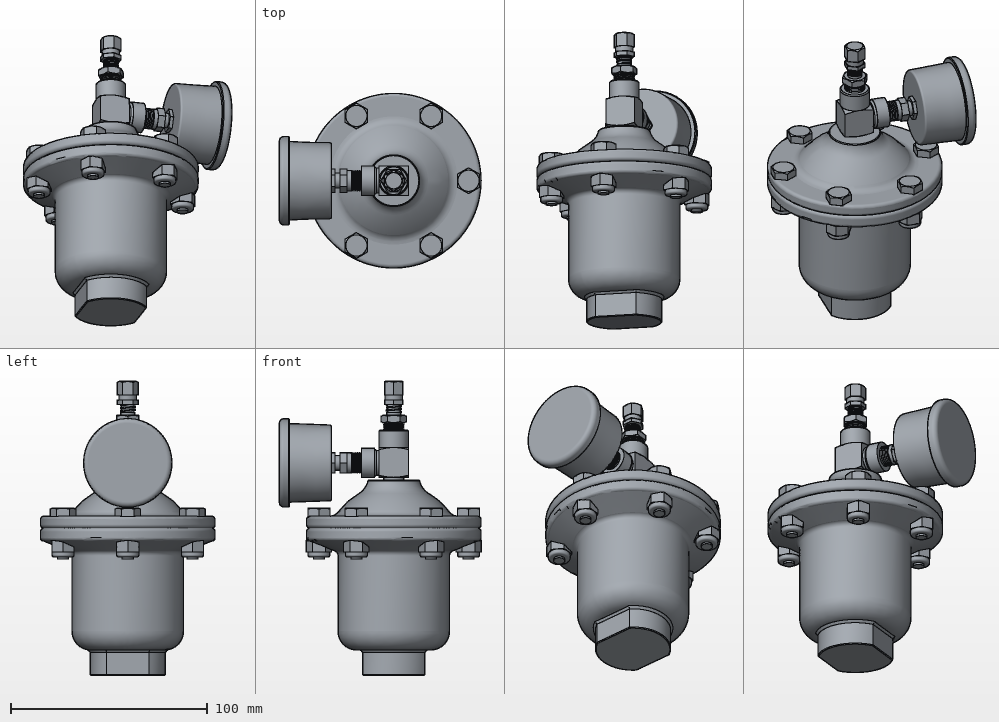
import cadquery as cq
import math

BOSS_DIAMETER = 38.3
BOSS_FLATS = 31.7
BOSS_TOP = 11.7
BOSS_FLARE_ANGLE = 40
BOSS_CHAMFER = 0.5
BODY_RADIUS = 56.7 / 2
BODY_BOTTOM = 12.9
BODY_CORNER_RADIUS = 9.6
FLARE_BOTTOM = 60.7
FLARE_BEND = (28.9, 62.4)
FLARE_LIP_RADIUS = 61.2 / 2
FLARE_LIP_Z = 63.5

FLANGE_RADIUS = 88.9 / 2
FLANGE_JOINT = 74.8
UPPER_FLANGE_THICKNESS = 6.1
LOWER_FLANGE_THICKNESS = 6.6
FLANGE_FILLET = 1.8
FLANGE_TOP = FLANGE_JOINT + UPPER_FLANGE_THICKNESS
FLANGE_BOTTOM = FLANGE_JOINT - LOWER_FLANGE_THICKNESS

BONNET_FOOT = (33.0, FLANGE_TOP)
BONNET_FOOT_BEND = (30.0, 81.7)
BONNET_DOME_LOW = (27.8, 83.6)
BONNET_DOME_BEND = (23.0, 88.7)
BONNET_DOME_HIGH = (17.5, 92.6)
BONNET_NECK_BEND = (14.7, 95.5)
BONNET_NECK = (13.2, 98.9)
BONNET_TOP = (12.7, 99.4)

BOLT_COUNT = 6
BOLT_CIRCLE_RADIUS = 38.0
BOLT_HEAD_FLATS = 11.4
BOLT_CROWN_DIAMETER = 10.8
BOLT_HEAD_HEIGHT = 4.2
NUT_FLATS = 11.2
NUT_HEIGHT = 5.5
NUT_COLLAR_DIAMETER = 11.2
NUT_COLLAR_HEIGHT = 2.5
NUT_COLLAR_ROUND = 1.0
STUD_DIAMETER = 5.7
STUD_TIP = 59.1

ELBOW_WIDTH = 15.1
ELBOW_BOTTOM = 100.7
ELBOW_TOP = 115.8
ELBOW_CORNER_DROP = 1.0
ELBOW_STEM_DIAMETER = 10.3
SOCKET_TOP = 124.8
SOCKET_CHAMFER = 0.6

TOP_Z = 149.6
CAP_FLATS = 9.3
CAP_CROWN_DIAMETER = 8.2
CAP_BOTTOM = 142.6
CAP_NECK_DIAMETER = 9.0
CAP_RING_TOP = 139.9
CAP_RING_BOTTOM = 137.7
SPRING_BOTTOM = 133.6
SPRING_BASE_DIAMETER = 7.2
SPRING_CORE_DIAMETER = 6.6
SPRING_DIAMETER = 7.6
SPRING_PITCH = 1.5
SPRING_RIDGE_WIDTH = 0.6
ADAPTER_FLATS = 11.4
ADAPTER_CROWN_DIAMETER = 10.9
ADAPTER_TOP = 132.3
ADAPTER_BOTTOM = 128.4
ADAPTER_COLLAR_DIAMETER = 9.3
ADAPTER_COLLAR_BOTTOM = 127.6

THREAD_DIAMETER = 10.3
THREAD_CORE_DIAMETER = 8.8
THREAD_PITCH = 0.9

GAUGE_AXIS_Z = 108.0
BRANCH_INNER_DIAMETER = 12.7
BRANCH_STEP_DIAMETER = 14.4
BRANCH_STEP_END = -8.8
BRANCH_COLLAR_START = -16.5
BRANCH_COLLAR_END = -9.9
THREAD_START = -21.5
GAUGE_HEX_FLATS = 10.3
GAUGE_HEX_END = -23.6
GAUGE_HEX_START = -27.4
GAUGE_NECK_DIAMETER = 7.6
GAUGE_BASE_HEX_END = -29.8
GAUGE_BACK = -31.5
GAUGE_BACK_RADIUS = 19.3
GAUGE_BACK_FILLET = 1.0
GAUGE_CASE_RADIUS = 20.0
GAUGE_FACE = -58.2
BEZEL_BACK = -53.0
BEZEL_RADIUS = 45.0 / 2
BEZEL_ROUND = 2.4
BEZEL_EDGE_CHAMFER = 0.5

OVERLAP = 0.3


def cylinder(diameter, low, high):
    return cq.Workplane("XY").workplane(offset=low).circle(diameter / 2).extrude(high - low)


def hexagon(flats, low, high, turn=0):
    """Hexagonal prism along Z; a corner points to +X before it is turned."""
    corner_diameter = flats / math.cos(math.pi / 6)
    prism = cq.Workplane("XY").polygon(6, corner_diameter).extrude(high - low)
    return prism.rotate((0, 0, 0), (0, 0, 1), turn).translate((0, 0, low))


def ring_thread(low, high):
    """Core with evenly spaced V-shaped ridges, revolved about Z."""
    count = round((high - low) / THREAD_PITCH)
    pitch = (high - low) / count
    profile = cq.Workplane("XZ").moveTo(0, low).lineTo(THREAD_CORE_DIAMETER / 2, low)
    for ridge in range(count):
        start = low + ridge * pitch
        profile = profile.lineTo(THREAD_DIAMETER / 2, start + pitch / 2)
        profile = profile.lineTo(THREAD_CORE_DIAMETER / 2, start + pitch)
    return profile.lineTo(0, high).close().revolve(360, (0, 0), (0, 1))


def crowned_hexagon(flats, crown_diameter, low, high, turn=0, both_ends=False):
    """Hexagon whose corners are trimmed by a 30 degree cone at the top or at both ends."""
    corner_radius = flats / 2 / math.cos(math.pi / 6)
    drop = (corner_radius - crown_diameter / 2) * math.tan(math.pi / 6)
    trim = (
        cq.Workplane("XZ")
        .moveTo(0, low)
        .lineTo(crown_diameter / 2 if both_ends else corner_radius, low)
        .lineTo(corner_radius, low + drop)
        .lineTo(corner_radius, high - drop)
        .lineTo(crown_diameter / 2, high)
        .lineTo(0, high)
        .close()
        .revolve(360, (0, 0), (0, 1))
    )
    return hexagon(flats, low, high, turn).intersect(trim)


def along_branch(piece):
    """Lay a piece built along Z onto the gauge axis, Z becoming X."""
    return piece.rotate((0, 0, 0), (0, 1, 0), 90).translate((0, 0, GAUGE_AXIS_Z))


def make_vessel():
    corner_bend = BODY_CORNER_RADIUS * math.sin(math.pi / 4)
    corner_center_r = BODY_RADIUS - BODY_CORNER_RADIUS
    corner_center_z = BODY_BOTTOM + BODY_CORNER_RADIUS
    flare_top_radius = FLANGE_RADIUS - FLANGE_FILLET
    return (
        cq.Workplane("XZ")
        .moveTo(0, BODY_BOTTOM)
        .lineTo(corner_center_r, BODY_BOTTOM)
        .threePointArc(
            (corner_center_r + corner_bend, corner_center_z - corner_bend),
            (BODY_RADIUS, corner_center_z),
        )
        .lineTo(BODY_RADIUS, FLARE_BOTTOM)
        .threePointArc(FLARE_BEND, (FLARE_LIP_RADIUS, FLARE_LIP_Z))
        .lineTo(flare_top_radius, FLANGE_BOTTOM)
        .lineTo(flare_top_radius, FLANGE_JOINT)
        .lineTo(0, FLANGE_JOINT)
        .close()
        .revolve(360, (0, 0), (0, 1))
    )


def make_boss():
    """Boss with two flats, flaring outwards where it meets the vessel."""
    flats = cq.Workplane("XY").box(BOSS_FLATS, BOSS_DIAMETER, BOSS_TOP, centered=(True, True, False))
    boss = cylinder(BOSS_DIAMETER, 0, BOSS_TOP).intersect(flats)
    flare_height = BODY_BOTTOM + OVERLAP - BOSS_TOP
    flare = boss.faces(">Z").wires().toPending().workplane()
    flare = flare.extrude(flare_height, taper=-BOSS_FLARE_ANGLE, combine=False)
    return boss.faces("<Z").edges().chamfer(BOSS_CHAMFER).union(flare)


def make_flanges():
    lower = cylinder(2 * FLANGE_RADIUS, FLANGE_BOTTOM, FLANGE_JOINT).edges().fillet(FLANGE_FILLET)
    upper = cylinder(2 * FLANGE_RADIUS, FLANGE_JOINT, FLANGE_TOP).edges().fillet(FLANGE_FILLET)
    return lower.union(upper)


def make_bonnet():
    return (
        cq.Workplane("XZ")
        .moveTo(0, FLANGE_JOINT)
        .lineTo(BONNET_FOOT[0], FLANGE_JOINT)
        .lineTo(*BONNET_FOOT)
        .threePointArc(BONNET_FOOT_BEND, BONNET_DOME_LOW)
        .threePointArc(BONNET_DOME_BEND, BONNET_DOME_HIGH)
        .threePointArc(BONNET_NECK_BEND, BONNET_NECK)
        .lineTo(*BONNET_TOP)
        .lineTo(0, BONNET_TOP[1])
        .close()
        .revolve(360, (0, 0), (0, 1))
    )


def make_bolt():
    head_top = FLANGE_TOP + BOLT_HEAD_HEIGHT
    head_bottom = FLANGE_TOP - OVERLAP
    head = crowned_hexagon(BOLT_HEAD_FLATS, BOLT_CROWN_DIAMETER, head_bottom, head_top, turn=30)
    nut_bottom = FLANGE_BOTTOM - NUT_HEIGHT
    collar_bottom = nut_bottom - NUT_COLLAR_HEIGHT
    nut = hexagon(NUT_FLATS, nut_bottom, FLANGE_BOTTOM + OVERLAP)
    collar = cylinder(NUT_COLLAR_DIAMETER, collar_bottom, nut_bottom + OVERLAP)
    collar = collar.faces("<Z").edges().fillet(NUT_COLLAR_ROUND)
    stud = cylinder(STUD_DIAMETER, STUD_TIP, FLANGE_TOP)
    return head.union(nut).union(collar).union(stud)


def make_elbow():
    half = ELBOW_WIDTH / 2
    corner_radius = half * math.sqrt(2)
    block = cq.Workplane("XY").box(
        ELBOW_WIDTH, ELBOW_WIDTH, ELBOW_TOP - ELBOW_BOTTOM, centered=(True, True, False)
    )
    corner_trim = (
        cq.Workplane("XZ")
        .moveTo(0, ELBOW_BOTTOM)
        .lineTo(half, ELBOW_BOTTOM)
        .lineTo(corner_radius, ELBOW_BOTTOM + ELBOW_CORNER_DROP)
        .lineTo(corner_radius, ELBOW_TOP - ELBOW_CORNER_DROP)
        .lineTo(half, ELBOW_TOP)
        .lineTo(0, ELBOW_TOP)
        .close()
        .revolve(360, (0, 0), (0, 1))
    )
    block = block.translate((0, 0, ELBOW_BOTTOM)).intersect(corner_trim)
    stem = cylinder(ELBOW_STEM_DIAMETER, BONNET_TOP[1] - OVERLAP, ELBOW_BOTTOM + OVERLAP)
    socket = cylinder(ELBOW_WIDTH, ELBOW_TOP - OVERLAP, SOCKET_TOP).faces(">Z").chamfer(SOCKET_CHAMFER)
    return block.union(stem).union(socket)


def make_spring():
    """Helical ridge around a plain core on a slightly wider base."""
    base = cylinder(SPRING_BASE_DIAMETER, ADAPTER_TOP - OVERLAP, SPRING_BOTTOM)
    core = cylinder(SPRING_CORE_DIAMETER, SPRING_BOTTOM - OVERLAP, CAP_RING_BOTTOM + OVERLAP)
    helix_low = SPRING_BOTTOM + SPRING_RIDGE_WIDTH / 2
    helix_height = CAP_RING_BOTTOM - helix_low
    root_radius = SPRING_CORE_DIAMETER / 2 - OVERLAP
    path = cq.Workplane(
        cq.Wire.makeHelix(SPRING_PITCH, helix_height, root_radius, cq.Vector(0, 0, helix_low))
    )
    ridge_depth = SPRING_DIAMETER / 2 - root_radius
    ridge = (
        cq.Workplane("XZ")
        .center(root_radius + ridge_depth / 2, helix_low)
        .rect(ridge_depth, SPRING_RIDGE_WIDTH)
        .sweep(path, isFrenet=True)
    )
    return base.union(core).union(ridge)


def make_upper_adapter():
    cap = crowned_hexagon(CAP_FLATS, CAP_CROWN_DIAMETER, CAP_BOTTOM, TOP_Z, turn=30)
    adapter_nut = crowned_hexagon(
        ADAPTER_FLATS, ADAPTER_CROWN_DIAMETER, ADAPTER_BOTTOM, ADAPTER_TOP, both_ends=True
    )
    pieces = [
        cylinder(CAP_NECK_DIAMETER, CAP_RING_TOP - OVERLAP, CAP_BOTTOM + OVERLAP),
        hexagon(CAP_FLATS, CAP_RING_BOTTOM, CAP_RING_TOP, turn=30),
        make_spring(),
        adapter_nut,
        cylinder(ADAPTER_COLLAR_DIAMETER, ADAPTER_COLLAR_BOTTOM, ADAPTER_BOTTOM + OVERLAP),
        ring_thread(SOCKET_TOP - OVERLAP, ADAPTER_COLLAR_BOTTOM + OVERLAP),
    ]
    for piece in pieces:
        cap = cap.union(piece)
    return cap


def make_gauge_case():
    bezel_bend = BEZEL_ROUND * (1 - math.sin(math.pi / 4))
    case = (
        cq.Workplane("XZ")
        .moveTo(0, GAUGE_FACE)
        .lineTo(BEZEL_RADIUS - BEZEL_ROUND, GAUGE_FACE)
        .threePointArc(
            (BEZEL_RADIUS - bezel_bend, GAUGE_FACE + bezel_bend),
            (BEZEL_RADIUS, GAUGE_FACE + BEZEL_ROUND),
        )
        .lineTo(BEZEL_RADIUS, BEZEL_BACK - BEZEL_EDGE_CHAMFER)
        .lineTo(BEZEL_RADIUS - BEZEL_EDGE_CHAMFER, BEZEL_BACK)
        .lineTo(GAUGE_CASE_RADIUS, BEZEL_BACK)
        .lineTo(GAUGE_BACK_RADIUS, GAUGE_BACK)
        .lineTo(0, GAUGE_BACK)
        .close()
        .revolve(360, (0, 0), (0, 1))
    )
    return case.faces(">Z").edges().fillet(GAUGE_BACK_FILLET)


def make_branch():
    """Gauge and the fittings joining it to the elbow."""
    step = (
        cq.Workplane("XY")
        .workplane(offset=BRANCH_COLLAR_END)
        .circle(BRANCH_STEP_DIAMETER / 2)
        .workplane(offset=BRANCH_STEP_END - BRANCH_COLLAR_END)
        .circle(BRANCH_INNER_DIAMETER / 2)
        .loft()
    )
    pieces = [
        hexagon(GAUGE_HEX_FLATS, GAUGE_BACK - OVERLAP, GAUGE_BASE_HEX_END, turn=30),
        cylinder(GAUGE_NECK_DIAMETER, GAUGE_BASE_HEX_END - OVERLAP, GAUGE_HEX_START + OVERLAP),
        hexagon(GAUGE_HEX_FLATS, GAUGE_HEX_START, GAUGE_HEX_END, turn=30),
        cylinder(THREAD_DIAMETER, GAUGE_HEX_END - OVERLAP, THREAD_START),
        ring_thread(THREAD_START, BRANCH_COLLAR_START + OVERLAP),
        cylinder(ELBOW_WIDTH, BRANCH_COLLAR_START, BRANCH_COLLAR_END),
        step,
        cylinder(BRANCH_INNER_DIAMETER, BRANCH_COLLAR_END - OVERLAP, OVERLAP - ELBOW_WIDTH / 2),
    ]
    branch = make_gauge_case()
    for piece in pieces:
        branch = branch.union(piece)
    return along_branch(branch)


result = make_vessel().union(make_boss()).union(make_flanges()).union(make_bonnet())

bolt = make_bolt().translate((BOLT_CIRCLE_RADIUS, 0, 0))
for index in range(BOLT_COUNT):
    result = result.union(bolt.rotate((0, 0, 0), (0, 0, 1), index * 360 / BOLT_COUNT))

result = result.union(make_elbow()).union(make_upper_adapter()).union(make_branch())